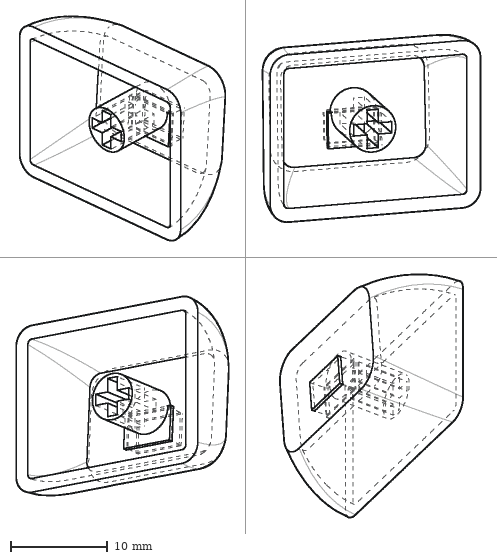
import cadquery as cq
import math


RIM_WIDTH = 22.85
RIM_HEIGHT = 18.1
RIM_CORNER = 2.0
WALL = 1.49
TOP_DISTANCE = 9.58
TOP_TILT = 4.0
TOP_INSET = 2.77
TOP_CORNER = 2.63
CEILING_CORNER = 1.33
SECTION_COUNT = 5

STEM_DIAMETER = 5.0
STEM_RECESS = 1.0
STEM_ROOT = 8.69
CROSS_SPAN = 4.14
CROSS_SLOT = 1.21
CROSS_DEPTH = 5.0

PLATE_WIDTH = 5.75
PLATE_HEIGHT = 3.85
PLATE_THICKNESS = 0.5
LEGEND_CENTER = -1.85
PLUG_MARGIN = 0.15
RAISED_HEIGHT = 0.37

SIDE_RADIUS = (TOP_DISTANCE**2 + TOP_INSET**2) / (2 * TOP_INSET)
CEILING_DISTANCE = TOP_DISTANCE - WALL / math.cos(math.radians(TOP_TILT))


def tilted_plane(distance, tilt):
    """Plane facing +Y whose local x is -X and local y is Z, leaning by tilt degrees."""
    angle = math.radians(tilt)
    return cq.Plane(
        origin=(0, distance, 0),
        xDir=(-1, 0, 0),
        normal=(0, math.cos(angle), -math.sin(angle)),
    )


def curved_block(width, height, depth, side_radius, rim_corner, top_corner):
    """Solid lofted from the rim to a tilted top, its sides arching inward from square to the rim."""
    outlines = []
    for i in range(SECTION_COUNT):
        fraction = i / (SECTION_COUNT - 1)
        distance = depth * fraction
        inset = side_radius - math.sqrt(side_radius**2 - distance**2)
        corner = rim_corner + (top_corner - rim_corner) * fraction
        outline = cq.Sketch().rect(width - 2 * inset, height - 2 * inset).vertices().fillet(corner)
        outlines.append(outline.moved(cq.Location(tilted_plane(distance, TOP_TILT * fraction))))
    return cq.Workplane().placeSketch(*outlines).loft()


def make_shell():
    """Hollow cap, open at the rim; the cavity sides are concentric with the outer sides."""
    outside = curved_block(RIM_WIDTH, RIM_HEIGHT, TOP_DISTANCE, SIDE_RADIUS, RIM_CORNER, TOP_CORNER)
    cavity = curved_block(
        RIM_WIDTH - 2 * WALL,
        RIM_HEIGHT - 2 * WALL,
        CEILING_DISTANCE,
        SIDE_RADIUS - WALL,
        RIM_CORNER - WALL,
        CEILING_CORNER,
    )
    return outside.cut(cavity)


def make_stem():
    """Round stem with a blind cross socket in its free end."""
    end = cq.Workplane(tilted_plane(STEM_RECESS, 0))
    stem = end.circle(STEM_DIAMETER / 2).extrude(STEM_ROOT - STEM_RECESS)
    for width, height in ((CROSS_SPAN, CROSS_SLOT), (CROSS_SLOT, CROSS_SPAN)):
        stem = stem.cut(end.rect(width, height).extrude(CROSS_DEPTH))
    return stem


def legend_block(start, thickness, margin):
    """Rectangular block on the legend center, start being measured outward from the key top."""
    return (
        cq.Workplane(tilted_plane(TOP_DISTANCE, TOP_TILT))
        .workplane(offset=start)
        .center(0, LEGEND_CENTER)
        .rect(PLATE_WIDTH - 2 * margin, PLATE_HEIGHT - 2 * margin)
        .extrude(thickness)
    )


def make_legend():
    """Backing plate with the smaller plug that passes through the top wall."""
    plate = legend_block(-WALL - PLATE_THICKNESS, PLATE_THICKNESS, 0)
    plug = legend_block(-WALL, WALL + RAISED_HEIGHT, PLUG_MARGIN)
    return plate.union(plug)


def make_cap(insert):
    """Shell and stem as one body, with room cut for the legend insert."""
    return make_shell().union(make_stem()).cut(insert)


legend = make_legend()
cap = make_cap(legend)
result = cq.Compound.makeCompound([cap.solids().val(), legend.solids().val()])